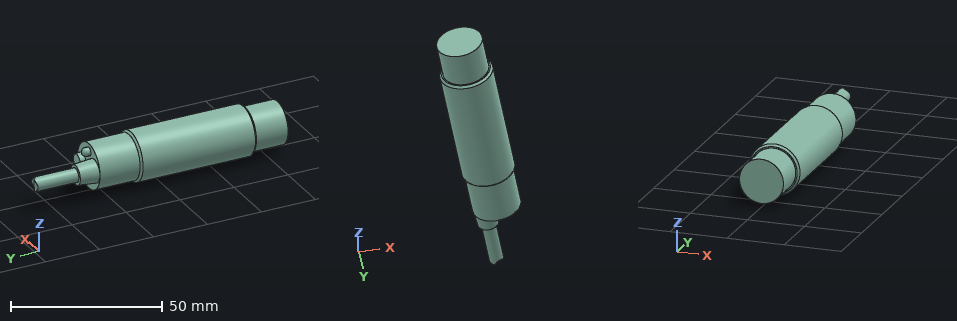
import cadquery as cq

total_length = 92.7

nose_diameter = 15.5
barrel_diameter = 18.0
rear_diameter = 16.5
barrel_start = 12.05
barrel_end = 55.1
housing_end = 70.0
barrel_chamfer = (barrel_diameter - rear_diameter) / 2

cable_x = -4.0
cable_diameter = 5.0
relief_base_diameter = 8.3
relief_tip_diameter = 7.1
relief_end = 76.9
break_depth = 0.65

lamp_z = 5.4
lamp_diameter = 3.1
lamp_straight_length = 1.0

adjuster_x = 4.7
adjuster_base_diameter = 5.6
adjuster_tip_diameter = 5.2
adjuster_height = 2.0


def cylinder_along_y(diameter, start, end, x=0, z=0):
    base = cq.Workplane("XZ", origin=(x, start, z))
    return base.circle(diameter / 2).extrude(start - end)


def make_housing():
    nose = cylinder_along_y(nose_diameter, 0, barrel_start)
    barrel = cylinder_along_y(barrel_diameter, barrel_start, barrel_end).edges().chamfer(barrel_chamfer)
    rear = cylinder_along_y(rear_diameter, barrel_end, housing_end)
    return nose.union(barrel).union(rear)


def tapered_boss(x, base_diameter, tip_diameter, tip_y):
    """Truncated cone standing on the rear face of the housing."""
    profile = (
        cq.Workplane("XY", origin=(x, 0, 0))
        .moveTo(0, housing_end)
        .lineTo(base_diameter / 2, housing_end)
        .lineTo(tip_diameter / 2, tip_y)
        .lineTo(0, tip_y)
        .close()
    )
    return profile.revolve(360, (0, 0, 0), (0, 1, 0))


def make_strain_relief():
    return tapered_boss(cable_x, relief_base_diameter, relief_tip_diameter, relief_end)


def make_cable():
    """Round cable whose free end is trimmed to an S-shaped break line."""
    radius = cable_diameter / 2
    break_middle = total_length - break_depth
    cable = cylinder_along_y(cable_diameter, housing_end, total_length, cable_x)
    kept_region = (
        cq.Workplane("XY", origin=(cable_x, 0, 0))
        .moveTo(-radius, housing_end)
        .lineTo(-radius, break_middle)
        .threePointArc((-radius / 2, total_length), (0, break_middle))
        .threePointArc((radius / 2, break_middle - break_depth), (radius, break_middle))
        .lineTo(radius, housing_end)
        .close()
        .extrude(radius, both=True)
    )
    return cable.intersect(kept_region)


def make_lamp():
    dome_base = housing_end + lamp_straight_length
    stem = cylinder_along_y(lamp_diameter, housing_end, dome_base, z=lamp_z)
    dome = cq.Workplane("XY", origin=(0, dome_base, lamp_z)).sphere(lamp_diameter / 2)
    return stem.union(dome)


def make_adjuster():
    adjuster_end = housing_end + adjuster_height
    return tapered_boss(adjuster_x, adjuster_base_diameter, adjuster_tip_diameter, adjuster_end)


result = (
    make_housing()
    .union(make_strain_relief())
    .union(make_cable())
    .union(make_lamp())
    .union(make_adjuster())
)